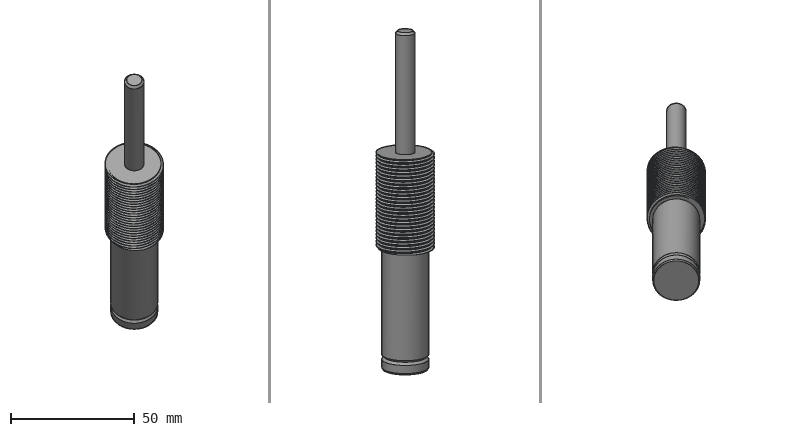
import cadquery as cq

total_height = 142.0
thread_bottom = 51.0
thread_length = 40.0
thread_top = thread_bottom + thread_length

body_radius = 9.5
body_chamfer_height = 0.7
body_chamfer_width = 0.4
rod_radius = 4.0
rod_chamfer_height = 1.0
rod_chamfer_width = 0.92

groove_bottom = 4.1
groove_top = 6.1
groove_depth = 1.1

thread_radius = 11.8
thread_turns = 26.7
thread_pitch = thread_length / thread_turns
thread_depth = 1.0
crest_width = 0.07
root_width = 0.4
root_overlap = 0.07
trim_margin = 1.4


def make_core():
    """Stepped body of revolution: body, thread root and rod."""
    root_radius = thread_radius - thread_depth
    groove_radius = body_radius - groove_depth
    groove_middle = (groove_bottom + groove_top) / 2
    return (
        cq.Workplane("XZ")
        .moveTo(0, 0)
        .lineTo(body_radius - body_chamfer_width, 0)
        .lineTo(body_radius, body_chamfer_height)
        .lineTo(body_radius, groove_bottom)
        .lineTo(groove_radius, groove_middle)
        .lineTo(body_radius, groove_top)
        .lineTo(body_radius, thread_bottom)
        .lineTo(root_radius, thread_bottom)
        .lineTo(root_radius, thread_top)
        .lineTo(rod_radius, thread_top)
        .lineTo(rod_radius, total_height - rod_chamfer_height)
        .lineTo(rod_radius - rod_chamfer_width, total_height)
        .lineTo(0, total_height)
        .close()
        .revolve(360, (0, 0, 0), (0, 1, 0))
    )


def make_helical_bar(profile, height):
    """Solid swept along a helix by a closed profile of (radius, z) corners."""
    helices = [
        cq.Wire.makeHelix(thread_pitch, height, radius).translate(cq.Vector(0, 0, z))
        for radius, z in profile
    ]
    next_helices = helices[1:] + helices[:1]
    faces = []
    for helix, next_helix in zip(helices, next_helices):
        faces.extend(cq.Face.makeRuledSurface(helix, next_helix).Faces())
    for position in (0, 1):
        corners = [helix.positionAt(position) for helix in helices]
        faces.append(cq.Face.makeFromWires(cq.Wire.makePolygon(corners, close=True)))
    shell = cq.Shell.makeShell(faces)
    return cq.Workplane(obj=cq.Solid.makeSolid(shell).fix())


def make_thread():
    """Helical ridge, run past both ends and trimmed flat to the thread length."""
    root_radius = thread_radius - thread_depth
    half_crest = crest_width / 2
    half_root = (thread_pitch - root_width) / 2
    flank_slope = (half_root - half_crest) / thread_depth
    half_base = half_root + flank_slope * root_overlap
    helix_start = thread_bottom - thread_pitch
    profile = [
        (root_radius - root_overlap, helix_start - half_base),
        (thread_radius, helix_start - half_crest),
        (thread_radius, helix_start + half_crest),
        (root_radius - root_overlap, helix_start + half_base),
    ]
    ridge = make_helical_bar(profile, thread_length + 2 * thread_pitch)
    envelope = (
        cq.Workplane("XY")
        .workplane(offset=thread_bottom)
        .circle(thread_radius + trim_margin)
        .extrude(thread_length)
    )
    return ridge.intersect(envelope)


result = make_core().union(make_thread())